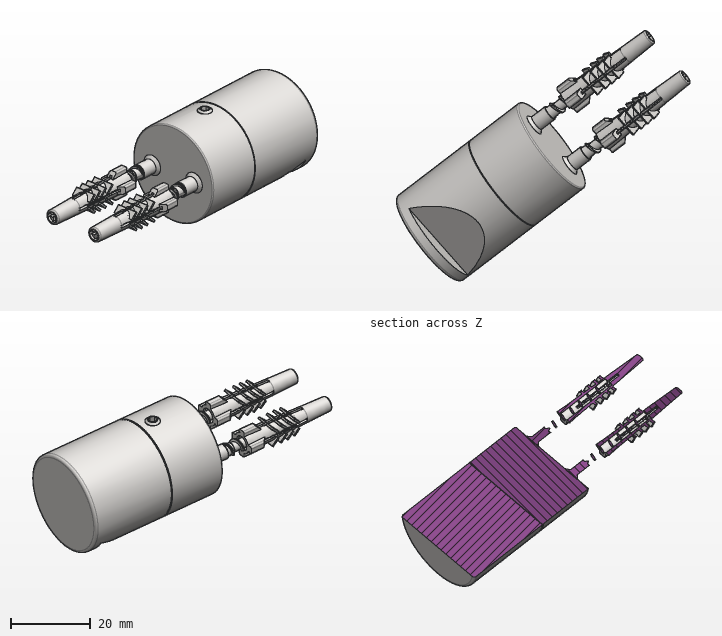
import cadquery as cq
import math


HOUSING_D = 26.85
HOUSING_R = HOUSING_D / 2
OVERALL_LENGTH = 77.85
HOUSING_LENGTH = 40.0
JOINT_Y = 16.0
WALL_EDGE_FILLET = 0.3
JOINT_CHAMFER = 0.2
CAP_END_FILLET = 0.8
HOOK_LIP = 3.0
HOOK_NOTCH_DEPTH = 6.8
HOOK_NOTCH_LENGTH = 12.8

SET_SCREW_Y = 12.0
SET_SCREW_R = 1.95
SET_SCREW_PROTRUSION = 0.5
SET_SCREW_TOP_Z = HOUSING_R + SET_SCREW_PROTRUSION
SET_SCREW_LENGTH = 4.7
SET_SCREW_CHAMFER = 0.6
SOCKET_FLATS = 2.0
SOCKET_DEPTH = 1.55
SOCKET_POINT_DEPTH = 0.6

FIXING_PITCH = 14.1
HEAD_R = 2.8
HEAD_LENGTH = 0.85
SHANK_R = 2.0
SHANK_END_Y = -5.1
NECK_R = 1.7
NECK_END_R = 1.5
NECK_END_Y = -7.5
CORE_R = 1.3
CONE_START_Y = -26.5
SCREW_TIP_Y = HOUSING_LENGTH - OVERALL_LENGTH
THREAD_R = 1.95
THREAD_ROOT_R = 1.1
THREAD_ROOT_WIDTH = 1.0
THREAD_CREST_WIDTH = 0.4
THREAD_PITCH = 3.0
THREAD_TURNS = 6.75
THREAD_TOP_Y = -5.3

PLUG_TOP_Y = -10.75
PLUG_TOP_R = 2.9
NOSE_START_Y = -29.8
NOSE_START_R = 2.25
NOSE_END_R = 2.0
NOSE_END_Y = -37.75
NOSE_FILLET = 0.4
NOSE_BORE_R = 1.5
NOSE_BORE_DEPTH = 0.8
PLUG_BORE_R = SHANK_R
SLIT_WIDTH = 0.7
SLIT_START_Y = -15.5
WING_R = 4.05
WING_WIDTH = 2.1
WING_FILLET = 0.5
WING_SLOPE_START_Y = -14.6
WING_END_R = 2.65
BARB_WIDTH = 5.9
BARB_THICKNESS = 0.55
BARB_INNER_Z = 0.7
BARBS = [(-20.3, 2.95), (-22.9, 2.95), (-25.0, 2.95), (-26.85, 2.7)]


def revolved(points):
    """Solid of revolution about Y from (radius, Y) points."""
    return cq.Workplane("XY").polyline(points).close().revolve(360, (0, 0, 0), (0, 1, 0))


def housing_cylinder(start_y, end_y):
    return cq.Workplane("XZ", origin=(0, end_y, 0)).circle(HOUSING_R).extrude(end_y - start_y)


def make_cap():
    cap = housing_cylinder(JOINT_Y, HOUSING_LENGTH).faces(">Y").edges().fillet(CAP_END_FILLET)
    lip_y = HOUSING_LENGTH - HOOK_LIP
    notch = (
        cq.Workplane("YZ")
        .moveTo(lip_y, HOOK_NOTCH_DEPTH - HOUSING_R)
        .lineTo(lip_y - HOOK_NOTCH_LENGTH, -HOUSING_R)
        .lineTo(lip_y, -HOUSING_R)
        .close()
        .extrude(HOUSING_R, both=True)
    )
    return cap.cut(notch)


def make_base():
    base = housing_cylinder(0, JOINT_Y)
    base = base.faces("<Y").edges().fillet(WALL_EDGE_FILLET)
    base = base.faces(">Y").edges().chamfer(JOINT_CHAMFER)
    set_screw_hole = (
        cq.Workplane("XY", origin=(0, SET_SCREW_Y, SET_SCREW_TOP_Z))
        .circle(SET_SCREW_R)
        .extrude(-SET_SCREW_LENGTH)
    )
    return base.cut(set_screw_hole)


def make_set_screw():
    socket_corner_d = SOCKET_FLATS / math.cos(math.pi / 6)
    top = cq.Workplane("XY", origin=(0, SET_SCREW_Y, SET_SCREW_TOP_Z))
    body = top.circle(SET_SCREW_R).extrude(-SET_SCREW_LENGTH)
    body = body.faces(">Z").edges().chamfer(SET_SCREW_CHAMFER)
    socket = top.polygon(6, socket_corner_d).extrude(-SOCKET_DEPTH)
    point = cq.Solid.makeCone(
        SOCKET_FLATS / 2, 0, SOCKET_POINT_DEPTH,
        cq.Vector(0, SET_SCREW_Y, SET_SCREW_TOP_Z - SOCKET_DEPTH), cq.Vector(0, 0, -1),
    )
    return body.cut(socket).cut(cq.Workplane(point))


def make_thread():
    """Right-handed helical ridge along Y, ending on the +X side at THREAD_TOP_Y."""
    length = THREAD_PITCH * THREAD_TURNS
    helix = cq.Wire.makeHelix(THREAD_PITCH, length, THREAD_R)
    ridge = (
        cq.Workplane("XZ")
        .moveTo(THREAD_ROOT_R, -THREAD_ROOT_WIDTH / 2)
        .lineTo(THREAD_R, -THREAD_CREST_WIDTH / 2)
        .lineTo(THREAD_R, THREAD_CREST_WIDTH / 2)
        .lineTo(THREAD_ROOT_R, THREAD_ROOT_WIDTH / 2)
        .close()
        .sweep(cq.Workplane(helix), isFrenet=True)
    )
    end_angle = 360 * THREAD_TURNS
    return (
        ridge.rotate((0, 0, 0), (0, 0, 1), -end_angle)
        .rotate((0, 0, 0), (1, 0, 0), -90)
        .translate((0, THREAD_TOP_Y - length, 0))
    )


def make_wall_screw():
    core = revolved([
        (0, SHANK_END_Y),
        (CORE_R, SHANK_END_Y),
        (CORE_R, CONE_START_Y),
        (0, SCREW_TIP_Y),
    ])
    neck = revolved([
        (0, SHANK_END_Y),
        (NECK_R, SHANK_END_Y),
        (NECK_END_R, NECK_END_Y),
        (0, NECK_END_Y),
    ])
    head_and_shank = revolved([
        (0, 0),
        (HEAD_R, 0),
        (SHANK_R, -HEAD_LENGTH),
        (SHANK_R, SHANK_END_Y),
        (0, SHANK_END_Y),
    ])
    return core.union(make_thread()).union(neck).union(head_and_shank)


def make_wing():
    """Rounded rib with a 45 degree slope at its lower end."""
    end_y = WING_SLOPE_START_Y - (WING_R - WING_END_R)
    wing = (
        cq.Workplane("XY")
        .moveTo(0, PLUG_TOP_Y)
        .lineTo(WING_R, PLUG_TOP_Y)
        .lineTo(WING_R, WING_SLOPE_START_Y)
        .lineTo(WING_END_R, end_y)
        .lineTo(0, end_y)
        .close()
        .extrude(WING_WIDTH / 2, both=True)
    )
    return wing.edges("|Y").edges(">X").fillet(WING_FILLET)


def make_barb(inner_y, tip_z):
    """Flat plate across the plug, leaning 45 degrees outwards and back to the wall face."""
    step = BARB_THICKNESS * math.sin(math.pi / 4)
    reach = tip_z - BARB_INNER_Z - step
    return (
        cq.Workplane("YZ")
        .moveTo(inner_y + step, BARB_INNER_Z)
        .lineTo(inner_y, BARB_INNER_Z + step)
        .lineTo(inner_y + reach, tip_z)
        .lineTo(inner_y + reach + step, tip_z - step)
        .close()
        .extrude(BARB_WIDTH / 2, both=True)
    )


def make_plug_cavity():
    """Thread clearance bore, cone fitting the screw point, and short wider bore in the nose."""
    nose_bore_y = NOSE_END_Y + NOSE_BORE_DEPTH
    cone_slope = CORE_R / (CONE_START_Y - SCREW_TIP_Y)
    cone_end_r = cone_slope * (nose_bore_y - SCREW_TIP_Y)
    return revolved([
        (0, PLUG_TOP_Y),
        (PLUG_BORE_R, PLUG_TOP_Y),
        (PLUG_BORE_R, CONE_START_Y),
        (CORE_R, CONE_START_Y),
        (cone_end_r, nose_bore_y),
        (NOSE_BORE_R, nose_bore_y),
        (NOSE_BORE_R, NOSE_END_Y),
        (0, NOSE_END_Y),
    ])


def make_cross_slits():
    """Crossed slits, open through the wall above the nose and kept inside it within the nose."""
    open_length = SLIT_START_Y - NOSE_START_Y
    nose_length = NOSE_START_Y - NOSE_END_Y
    open_slit = cq.Workplane("XY").box(2 * WING_R, open_length, SLIT_WIDTH)
    open_slit = open_slit.translate((0, NOSE_START_Y + open_length / 2, 0))
    nose_slit = cq.Workplane("XY").box(2 * NOSE_BORE_R, nose_length, SLIT_WIDTH)
    nose_slit = nose_slit.translate((0, NOSE_END_Y + nose_length / 2, 0))
    slit = open_slit.union(nose_slit)
    return slit.union(slit.rotate((0, 0, 0), (0, 1, 0), 90))


def make_wall_plug():
    plug = revolved([
        (0, PLUG_TOP_Y),
        (PLUG_TOP_R, PLUG_TOP_Y),
        (NOSE_START_R, NOSE_START_Y),
        (NOSE_END_R, NOSE_END_Y),
        (0, NOSE_END_Y),
    ]).faces("<Y").edges().fillet(NOSE_FILLET)
    for angle in (0, 90, 180, 270):
        plug = plug.union(make_wing().rotate((0, 0, 0), (0, 1, 0), angle))
    for inner_y, tip_z in BARBS:
        barb = make_barb(inner_y, tip_z)
        plug = plug.union(barb).union(barb.mirror("XY"))
    return plug.cut(make_cross_slits()).cut(make_plug_cavity())


cap = make_cap()
base = make_base()
set_screw = make_set_screw()
screws = []
plugs = []
for fixing_x in (-FIXING_PITCH / 2, FIXING_PITCH / 2):
    screws.append(make_wall_screw().translate((fixing_x, 0, 0)).val())
    plugs.append(make_wall_plug().translate((fixing_x, 0, 0)).val())

result = cq.Compound.makeCompound([cap.val(), base.val(), set_screw.val(), *screws, *plugs])